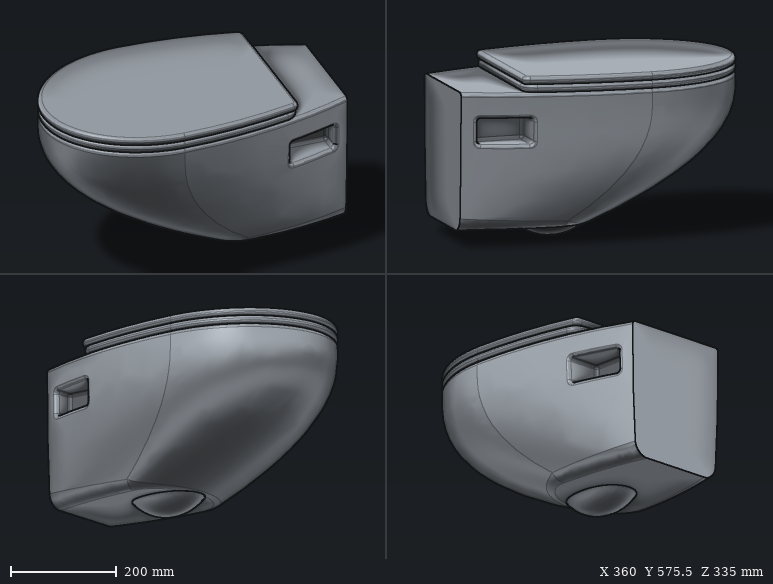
import cadquery as cq
import math


RIM_HALF_WIDTH = 180.0
RIM_WALL_HALF_WIDTH = 110.5
RIM_SEAM_Y = -358.0
RIM_FRONT_Y = -575.5

BASE_HALF_WIDTH = 118.5
BASE_WALL_HALF_WIDTH = 102.0
BASE_SEAM_Y = -185.5
BASE_FRONT_Y = -287.0

BOWL_HEIGHT = 270.5
STRAIGHT_Z = 242.0
TAPER_POWER = 2.1
SECTION_COUNT = 10
RIM_ROUND = 7.5
BASE_ROUND = 29.5

RECESS_REAR_Y = -30.5
RECESS_LENGTH = 102.0
RECESS_HEIGHT = 50.5
RECESS_CENTRE_Z = 196.5
RECESS_FLOOR_X = 80.5
RECESS_INNER_ROUND = 7.0
RECESS_MOUTH_ROUND = 7.0
MOUTH_SEARCH_MARGIN = 3.0

TRAP_X = -5.0
TRAP_Y = -211.0
TRAP_DEPTH = 33.0
TRAP_PIPE_RADIUS = 59.5
TRAP_BEND_RADIUS = 47.0

COVER_REAR_Y = -113.0
SMALL_ROUND_DIAMETER = 12.0
SMALL_ROUND = SMALL_ROUND_DIAMETER / 2
SEAT_HEIGHT = 15.5
SEAT_CORNER_RADIUS = 32.0
LID_HEIGHT = 16.0
LID_CORNER_RADIUS = 15.0
LID_TOP_ROUND = 7.5


def flank_radius(half_width, wall_half_width, seam_y):
    """Radius of the flank arc that runs along Y at the seam and ends at the wall."""
    inset = half_width - wall_half_width
    return (seam_y ** 2 + inset ** 2) / (2 * inset)


def outline(half_width, wall_half_width, seam_y, front_y, z, rear_y=0.0):
    """Closed plan outline at height z, cut off straight at rear_y."""
    radius = flank_radius(half_width, wall_half_width, seam_y)
    centre_x = half_width - radius

    def flank_point(y, side):
        x = centre_x + math.sqrt(radius ** 2 - (y - seam_y) ** 2)
        return cq.Vector(side * x, y, z)

    middle_y = (rear_y + seam_y) / 2
    rear_right, middle_right, seam_right = [flank_point(y, 1) for y in (rear_y, middle_y, seam_y)]
    rear_left, middle_left, seam_left = [flank_point(y, -1) for y in (rear_y, middle_y, seam_y)]
    front = cq.Workplane("XY", origin=(0, seam_y, z)).ellipseArc(
        half_width, seam_y - front_y, 180, 360, startAtCurrent=False
    )
    edges = [
        cq.Edge.makeLine(rear_right, rear_left),
        cq.Edge.makeThreePointArc(rear_left, middle_left, seam_left),
        front.val(),
        cq.Edge.makeThreePointArc(seam_right, middle_right, rear_right),
    ]
    return cq.Wire.assembleEdges(edges)


def rim_outline(z, rear_y=0.0):
    return outline(RIM_HALF_WIDTH, RIM_WALL_HALF_WIDTH, RIM_SEAM_Y, RIM_FRONT_Y, z, rear_y)


def bowl_section(z):
    """Outline of the bowl at height z, blended from rim to base below STRAIGHT_Z."""
    taper = max(0.0, 1 - z / STRAIGHT_Z) ** TAPER_POWER

    def blend(rim, base):
        return rim + (base - rim) * taper

    return outline(
        blend(RIM_HALF_WIDTH, BASE_HALF_WIDTH),
        blend(RIM_WALL_HALF_WIDTH, BASE_WALL_HALF_WIDTH),
        blend(RIM_SEAM_Y, BASE_SEAM_Y),
        blend(RIM_FRONT_Y, BASE_FRONT_Y),
        z,
    )


def bowl_shell():
    """Outer form of the bowl with its rounded rim and rounded lower edge."""
    step = BOWL_HEIGHT / (SECTION_COUNT - 1)
    body = cq.Solid.makeLoft([bowl_section(i * step) for i in range(SECTION_COUNT)])
    shell = cq.Workplane(obj=body).faces(">Z").edges("not >Y").fillet(RIM_ROUND)
    return shell.faces("<Z").edges("not >Y").fillet(BASE_ROUND)


def cut_recess(bowl, side):
    """Cut the rounded hand recess into the flank on the given side (-1 or 1)."""
    floor_x = side * RECESS_FLOOR_X
    centre_y = RECESS_REAR_Y - RECESS_LENGTH / 2
    cutter = (
        cq.Workplane("YZ", origin=(floor_x, centre_y, RECESS_CENTRE_Z))
        .rect(RECESS_LENGTH, RECESS_HEIGHT)
        .extrude(side * RIM_HALF_WIDTH)
        .edges("|X")
        .fillet(RECESS_INNER_ROUND)
    )
    floor_selector = ">X" if side < 0 else "<X"
    cutter = cutter.faces(floor_selector).edges().fillet(RECESS_INNER_ROUND)

    half_length = RECESS_LENGTH / 2 + MOUTH_SEARCH_MARGIN
    half_height = RECESS_HEIGHT / 2 + MOUTH_SEARCH_MARGIN
    mouth = cq.selectors.BoxSelector(
        (floor_x + side * 2 * RECESS_INNER_ROUND, centre_y - half_length, RECESS_CENTRE_Z - half_height),
        (side * RIM_HALF_WIDTH, centre_y + half_length, RECESS_CENTRE_Z + half_height),
        boundingbox=True,
    )
    return bowl.cut(cutter).edges(mouth).fillet(RECESS_MOUTH_ROUND)


def trap_bulge():
    """Part of the pipe bend that shows below the underside of the bowl."""
    outer_radius = TRAP_BEND_RADIUS + TRAP_PIPE_RADIUS
    axis_point = cq.Vector(TRAP_X, TRAP_Y, outer_radius - TRAP_DEPTH)
    bend = cq.Solid.makeTorus(TRAP_BEND_RADIUS, TRAP_PIPE_RADIUS, axis_point, cq.Vector(1, 0, 0))
    space_below = (
        cq.Workplane("XY", origin=(TRAP_X, TRAP_Y, 0))
        .rect(2 * outer_radius, 2 * outer_radius)
        .extrude(-2 * TRAP_DEPTH)
    )
    return cq.Workplane(obj=bend).intersect(space_below)


def make_bowl():
    bowl = bowl_shell()
    for side in (-1, 1):
        bowl = cut_recess(bowl, side)
    return bowl.union(trap_bulge())


def cover_plate(bottom_z, height, corner_radius, top_round):
    """Plate over the rim outline with rounded rear corners and rounded edges."""
    blank = cq.Solid.extrudeLinear(rim_outline(bottom_z, COVER_REAR_Y), [], cq.Vector(0, 0, height))
    plate = cq.Workplane(obj=blank).faces(">Y").edges("|Z").fillet(corner_radius)
    plate = plate.faces(">Z").edges().fillet(top_round)
    return plate.faces("<Z").edges().fillet(SMALL_ROUND)


def make_seat():
    return cover_plate(BOWL_HEIGHT, SEAT_HEIGHT, SEAT_CORNER_RADIUS, SMALL_ROUND)


def make_lid():
    return cover_plate(BOWL_HEIGHT + SEAT_HEIGHT, LID_HEIGHT, LID_CORNER_RADIUS, LID_TOP_ROUND)


bowl = make_bowl()
seat = make_seat()
lid = make_lid()
result = cq.Compound.makeCompound([bowl.val(), seat.val(), lid.val()])